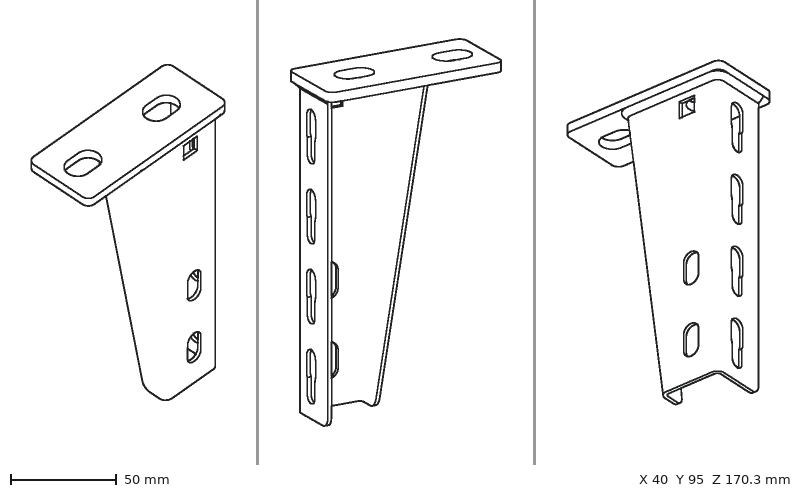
import cadquery as cq
import math

height = 170.3
plate_width = 40.0
plate_length = 95.0
plate_thickness = 5.0
plate_corner_radius = 4.0
plate_slot_width = 13.0
plate_slot_length = 20.0
plate_slot_ys = (-30.7, 22.6)
plate_underside = height - plate_thickness

weld_size = 3.0

sheet = 2.0
bend_radius = 4.1
channel_depth = 30.0
web_x = plate_width / 2 - weld_size
tip_x = web_x - channel_depth
back_y = plate_length / 2 - weld_size
front_top_y = -13.5
front_bottom_y = 8.3
web_bottom_z = 0.2
flange_corner_radius = 5.0
slope = math.atan2(front_bottom_y - front_top_y, plate_underside)

front_tip_top_x = -8.2
front_tip_bottom_x = 2.2

web_slot_width = 9.0
web_slot_length = 18.0
web_slot_count = 2
web_slot_y = 27.6
lowest_web_slot_z = 23.2
square_hole = 9.2
square_hole_y = 25.0
square_hole_z = 153.8

slot_pitch = 40.0
stepped_slot_count = 4
stepped_slot_x = 3.0
wide_slot_width = 8.7
narrow_slot_width = 7.2
stepped_slot_length = 26.9
stepped_slot_bottom_z = 7.8
wide_slot_length = 16.7

clearance = 8.5


def front_face_y(z):
    """Y of the outer face of the front flange at height z."""
    return front_bottom_y - z * math.tan(slope)


def channel_block():
    """Filled outer shape of the channel, its front foot square to the slope."""
    foot_width = web_bottom_z / math.tan(slope)
    outline = [
        (back_y, web_bottom_z),
        (back_y, plate_underside),
        (front_top_y, plate_underside),
        (front_bottom_y, 0),
        (front_bottom_y + foot_width, web_bottom_z),
    ]
    block = cq.Workplane("YZ", origin=(tip_x, 0, 0)).polyline(outline).close().extrude(channel_depth)
    return block.faces(">X").edges(">Y or (<Y exc |Y)").fillet(bend_radius)


def channel_cavity():
    """Space between the flanges, open at the free edges and at both ends."""
    front_inset = sheet / math.cos(slope)
    low = -clearance
    high = height + clearance
    outline = [
        (back_y - sheet, low),
        (back_y - sheet, high),
        (front_face_y(high) + front_inset, high),
        (front_face_y(low) + front_inset, low),
    ]
    start_x = tip_x - clearance
    cavity = cq.Workplane("YZ", origin=(start_x, 0, 0)).polyline(outline).close()
    cavity = cavity.extrude(web_x - sheet - start_x)
    return cavity.faces(">X").edges("not |Y").fillet(bend_radius - sheet)


def flange_blank(tip_top_x, tip_bottom_x, bottom_z, start_y, end_y):
    """Region kept for one flange: free edge at -X, with a rounded lower corner."""
    outline = [
        (tip_top_x, plate_underside),
        (tip_bottom_x, bottom_z),
        (web_x, bottom_z),
        (web_x, plate_underside),
    ]
    blank = cq.Workplane("XZ", origin=(0, end_y, 0)).polyline(outline).close().extrude(end_y - start_y)
    corner = cq.selectors.NearestToPointSelector((tip_bottom_x, (start_y + end_y) / 2, bottom_z))
    return blank.edges(corner).fillet(flange_corner_radius)


def vertical_slot(plane, origin, width, length):
    """Round-ended slot along Z, cut through the sheet on both sides of its plane."""
    sketch = cq.Workplane(plane, origin=origin)
    return sketch.slot2D(length, width, 90).extrude(clearance, both=True)


def stepped_slot(bottom_z):
    """Narrow full-length slot overlapped by a wider, shorter slot that shares its top."""
    top_z = bottom_z + stepped_slot_length
    narrow_centre = (stepped_slot_x, back_y, bottom_z + stepped_slot_length / 2)
    wide_centre = (stepped_slot_x, back_y, top_z - wide_slot_length / 2)
    narrow = vertical_slot("XZ", narrow_centre, narrow_slot_width, stepped_slot_length)
    wide = vertical_slot("XZ", wide_centre, wide_slot_width, wide_slot_length)
    return narrow.union(wide)


def make_bracket():
    """Bent channel with its flanges trimmed and all of its holes."""
    split_y = (front_bottom_y + back_y) / 2
    back = flange_blank(tip_x, tip_x, web_bottom_z, split_y, back_y)
    front = flange_blank(front_tip_top_x, front_tip_bottom_x, 0, front_top_y, split_y)
    bracket = channel_block().cut(channel_cavity()).intersect(back.union(front))

    for i in range(stepped_slot_count):
        bracket = bracket.cut(stepped_slot(stepped_slot_bottom_z + i * slot_pitch))
    for i in range(web_slot_count):
        slot_z = lowest_web_slot_z + i * slot_pitch
        bracket = bracket.cut(vertical_slot("YZ", (web_x, web_slot_y, slot_z), web_slot_width, web_slot_length))
    square = cq.Workplane("YZ", origin=(web_x, square_hole_y, square_hole_z))
    return bracket.cut(square.rect(square_hole, square_hole).extrude(clearance, both=True))


def make_weld():
    """45-degree bead under the plate, around the outside of the channel."""
    weld_bottom = plate_underside - weld_size
    front_y = front_face_y(weld_bottom)
    footprint = (
        cq.Sketch()
        .push([(tip_x + channel_depth / 2, (front_y + back_y) / 2)])
        .rect(channel_depth, back_y - front_y)
        .reset()
        .vertices(">X")
        .fillet(bend_radius)
    )
    base = cq.Workplane("XY", origin=(0, 0, weld_bottom))
    bead = base.placeSketch(footprint).extrude(weld_size, taper=-45)
    back_side = cq.Workplane("XY").box(plate_width, plate_length, height, centered=False).translate((tip_x, 0, 0))
    front_side = (
        cq.Workplane("XY")
        .box(plate_width, plate_length, height, centered=False)
        .translate((front_tip_top_x, -plate_length, 0))
    )
    return bead.intersect(back_side.union(front_side)).cut(channel_block())


def make_head_plate():
    """Slotted plate together with the weld bead on its underside."""
    plate = (
        cq.Workplane("XY", origin=(0, 0, plate_underside))
        .rect(plate_width, plate_length)
        .extrude(plate_thickness)
        .edges("|Z")
        .fillet(plate_corner_radius)
        .faces(">Z")
        .workplane()
        .pushPoints([(0, y) for y in plate_slot_ys])
        .slot2D(plate_slot_length, plate_slot_width, 90)
        .cutThruAll()
    )
    return plate.union(make_weld())


bracket = make_bracket()
head_plate = make_head_plate()
result = cq.Compound.makeCompound([bracket.val(), head_plate.val()])